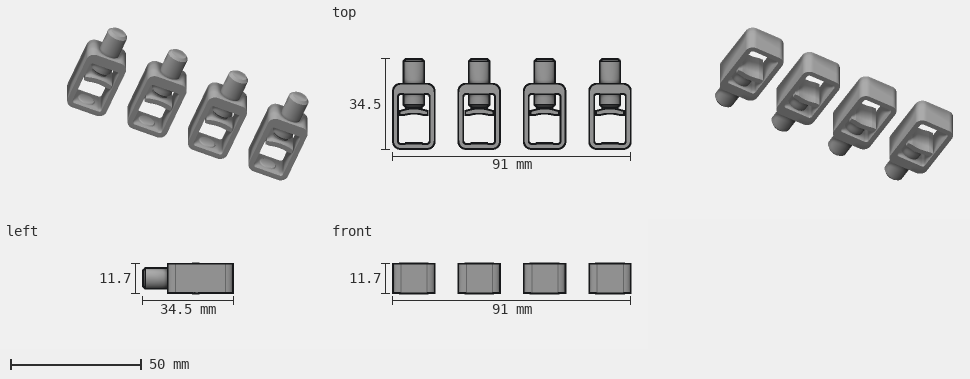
import cadquery as cq

clamp_count = 4
row_length = 91.0

frame_width = 16.0
frame_length = 25.0
frame_depth = 11.3
side_wall = 2.0
screw_wall = 2 * side_wall
outer_radius = 3.0
inner_radius = 1.0
window_width = frame_width - 2 * side_wall
window_length = frame_length - side_wall - screw_wall

screw_diameter = 8.0
screw_chamfer = 1.0
screw_end_y = 34.5
screw_tip_y = 16.0
neck_diameter = screw_diameter - 2 * screw_chamfer

pad_width = 10.8
pad_depth = 11.7
pad_base_y = 13.0
pad_edge_thickness = 1.55
pad_top_y = 15.5
pad_arch_width = 7.3
pad_arch_rise = 0.5

boss_top_diameter = neck_diameter
boss_height = 0.4
boss_base_diameter = boss_top_diameter + 2 * boss_height

pitch = (row_length - frame_width) / (clamp_count - 1)


def cylinder_along_y(diameter, start_y, end_y):
    """Round bar on the clamp axis, between two Y positions."""
    base = cq.Workplane("XZ", origin=(0, start_y, 0))
    return base.circle(diameter / 2).extrude(start_y - end_y)


def make_frame():
    outside = (
        cq.Workplane("XY")
        .box(frame_width, frame_length, frame_depth, centered=(True, False, True))
        .edges("|Z")
        .fillet(outer_radius)
    )
    window = (
        cq.Workplane("XY", origin=(0, side_wall, 0))
        .box(window_width, window_length, frame_depth, centered=(True, False, True))
        .edges("|Z")
        .fillet(inner_radius)
    )
    return outside.cut(window)


def make_screw():
    shank = cylinder_along_y(screw_diameter, screw_tip_y, screw_end_y)
    shank = shank.faces("<Y or >Y").chamfer(screw_chamfer)
    neck = cylinder_along_y(neck_diameter, pad_base_y + pad_edge_thickness, screw_tip_y)
    return shank.union(neck)


def make_pad():
    half_width = pad_width / 2
    half_arch = pad_arch_width / 2
    edge_top_y = pad_base_y + pad_edge_thickness
    return (
        cq.Workplane("XY")
        .moveTo(-half_width, pad_base_y)
        .lineTo(-half_arch, pad_base_y)
        .threePointArc((0, pad_base_y + pad_arch_rise), (half_arch, pad_base_y))
        .lineTo(half_width, pad_base_y)
        .lineTo(half_width, edge_top_y)
        .threePointArc((0, pad_top_y), (-half_width, edge_top_y))
        .close()
        .extrude(pad_depth / 2, both=True)
    )


def make_boss():
    disc = cylinder_along_y(boss_base_diameter, side_wall / 2, side_wall + boss_height)
    return disc.faces(">Y").chamfer(boss_height)


def make_clamp():
    return make_frame().union(make_screw()).union(make_pad()).union(make_boss())


clamp = make_clamp()
first_x = -pitch * (clamp_count - 1) / 2
clamps = []
for index in range(clamp_count):
    placed = clamp.translate((first_x + index * pitch, 0, 0))
    clamps.append(placed.val())

result = cq.Compound.makeCompound(clamps)